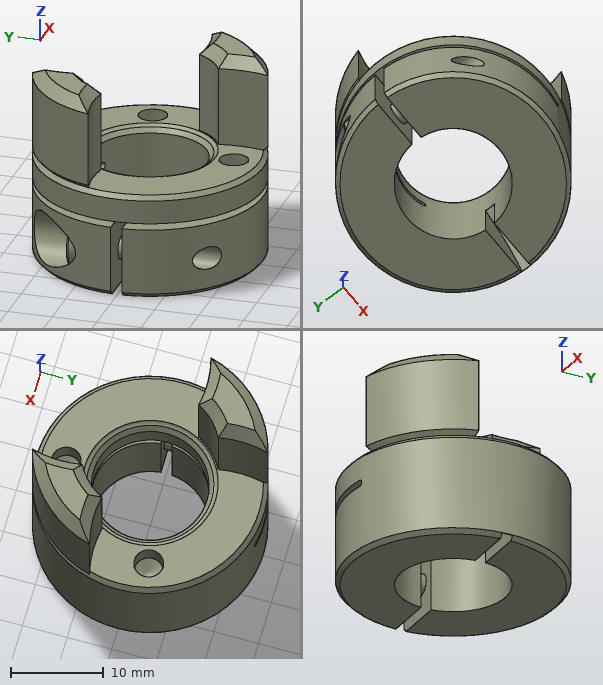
import cadquery as cq
import math

outer_radius = 12.7
bore_radius = 6.35
body_height = 11.9
total_height = 22.05
rim_chamfer = 0.5

mouth_radius = 6.85
fillet_radius = 0.81
jaw_inner_radius = 7.5
fillet_top = 12.42

jaw_corner = (-3.28, 48.3)
jaw_waist = (-3.73, 9.52)
jaw_root = (-3.53, 26.1)
jaw_chamfer = 1.25

pin_diameter = 3.18
pin_depth = 2.24
pin_circle_radius = 9.4
pin_angles = (-90.0, 15.0)
drill_point_angle = 120.0

slit_bottom = 8.0
slit_width = 0.74
slit_end_x = 2.55
gap_width = 1.25
undercut_top = (bore_radius, 5.95)
undercut_middle = (9.9, 3.68)
undercut_bottom = (12.65, 0.45)

screw_x = -8.76
screw_z = 4.01
screw_diameter = 2.57
screw_tip_y = -6.85
screw_tip_chamfer = 0.15
head_diameter = 5.5
head_top_y = 6.05
head_chamfer = 0.25
counterbore_diameter = 5.95
counterbore_floor_y = 3.05


def y_cylinder(diameter, start_y, end_y):
    """Cylinder on the screw axis between two Y positions."""
    plane = cq.Workplane("XZ", origin=(screw_x, start_y, screw_z))
    return plane.circle(diameter / 2).extrude(start_y - end_y)


def make_body():
    body = cq.Workplane("XY").circle(outer_radius).extrude(body_height)
    return body.faces("<Z or >Z").chamfer(rim_chamfer)


def make_jaw():
    """Upper-left jaw with hollow flanks and a chamfered top."""
    def mirrored(point):
        return (-point[1], -point[0])

    def on_diagonal(radius):
        return (-radius / math.sqrt(2), radius / math.sqrt(2))

    corner = (jaw_corner[0], math.sqrt(outer_radius**2 - jaw_corner[0]**2))
    root = (jaw_root[0], math.sqrt(jaw_inner_radius**2 - jaw_root[0]**2))
    jaw = (
        cq.Workplane("XY")
        .moveTo(*corner)
        .threePointArc(jaw_waist, root)
        .threePointArc(on_diagonal(jaw_inner_radius), mirrored(root))
        .threePointArc(mirrored(jaw_waist), mirrored(corner))
        .threePointArc(on_diagonal(outer_radius), corner)
        .close()
        .extrude(total_height - body_height + rim_chamfer)
        .translate((0, 0, body_height - rim_chamfer))
    )
    return jaw.faces(">Z").chamfer(jaw_chamfer)


def make_rim_groove():
    """V groove that continues the rim chamfer under the jaws."""
    return (
        cq.Workplane("XZ")
        .moveTo(outer_radius, body_height - rim_chamfer)
        .lineTo(outer_radius - rim_chamfer, body_height)
        .lineTo(outer_radius, body_height + rim_chamfer)
        .lineTo(outer_radius + rim_chamfer, body_height + rim_chamfer)
        .lineTo(outer_radius + rim_chamfer, body_height - rim_chamfer)
        .close()
        .revolve(360, (0, 0, 0), (0, 1, 0))
    )


def make_bore():
    """Through bore with a conical mouth and a concave fillet at the jaws."""
    fillet_center = jaw_inner_radius - fillet_radius

    def fillet_z(radius):
        return fillet_top - math.sqrt(fillet_radius**2 - (radius - fillet_center)**2)

    mouth_z = fillet_z(mouth_radius)
    middle_radius = (mouth_radius + jaw_inner_radius) / 2
    return (
        cq.Workplane("XZ")
        .lineTo(bore_radius, 0)
        .lineTo(bore_radius, mouth_z - (mouth_radius - bore_radius))
        .lineTo(mouth_radius, mouth_z)
        .threePointArc((middle_radius, fillet_z(middle_radius)), (jaw_inner_radius, fillet_top))
        .lineTo(0, fillet_top)
        .close()
        .revolve(360, (0, 0, 0), (0, 1, 0))
    )


def make_pin_hole(angle):
    radius = pin_diameter / 2
    point_height = radius / math.tan(math.radians(drill_point_angle / 2))
    hole = (
        cq.Workplane("XZ")
        .moveTo(0, body_height)
        .lineTo(radius, body_height)
        .lineTo(radius, body_height - pin_depth)
        .lineTo(0, body_height - pin_depth - point_height)
        .close()
        .revolve(360, (0, 0, 0), (0, 1, 0))
    )
    return hole.translate((pin_circle_radius, 0, 0)).rotate((0, 0, 0), (0, 0, 1), angle)


def make_slits():
    """Horizontal slit, vertical gap on the -X side and undercut on the +X side."""
    end_radius = slit_width / 2
    slit = (
        cq.Workplane("XZ")
        .moveTo(-outer_radius, slit_bottom)
        .lineTo(slit_end_x - end_radius, slit_bottom)
        .threePointArc(
            (slit_end_x, slit_bottom + end_radius),
            (slit_end_x - end_radius, slit_bottom + slit_width),
        )
        .lineTo(-outer_radius, slit_bottom + slit_width)
        .close()
        .extrude(outer_radius, both=True)
    )
    gap_height = slit_bottom + end_radius
    gap = cq.Workplane("XY").box(outer_radius, gap_width, gap_height, centered=(False, True, False))
    gap = gap.translate((-outer_radius, 0, 0))
    undercut = (
        cq.Workplane("XZ")
        .lineTo(0, undercut_top[1])
        .lineTo(*undercut_top)
        .threePointArc(undercut_middle, undercut_bottom)
        .lineTo(undercut_bottom[0], 0)
        .close()
        .extrude(gap_width / 2, both=True)
    )
    return slit.union(gap).union(undercut)


def make_screw():
    shank = y_cylinder(screw_diameter, counterbore_floor_y, screw_tip_y)
    shank = shank.faces("<Y").chamfer(screw_tip_chamfer)
    head = y_cylinder(head_diameter, head_top_y, counterbore_floor_y)
    head = head.faces(">Y").chamfer(head_chamfer)
    return shank.union(head)


result = make_body()
jaw = make_jaw()
result = result.union(jaw).union(jaw.rotate((0, 0, 0), (0, 0, 1), 180))
result = result.cut(make_rim_groove()).cut(make_bore())
for pin_angle in pin_angles:
    result = result.cut(make_pin_hole(pin_angle))
result = result.cut(make_slits())
result = result.cut(y_cylinder(counterbore_diameter, outer_radius, counterbore_floor_y))
result = result.cut(y_cylinder(screw_diameter, counterbore_floor_y, -outer_radius))
result = result.union(make_screw())